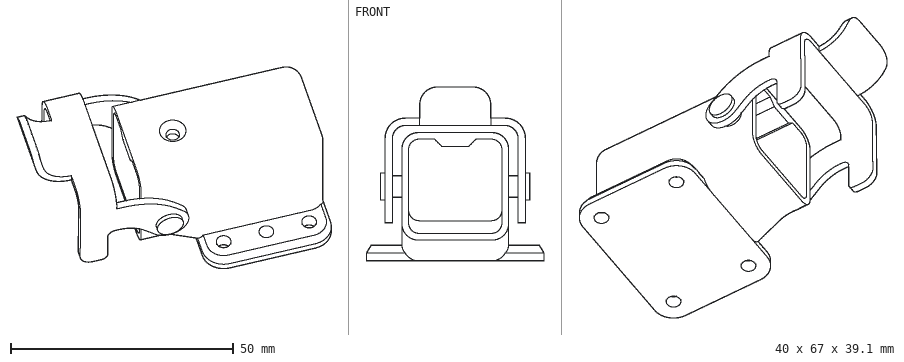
import cadquery as cq
import math


PLATE_WIDTH = 40.0
PLATE_LENGTH = 30.0
PLATE_HEIGHT = 3.5
PLATE_CORNER_RADIUS = 5.0
PLATE_BEVEL_HEIGHT = 1.8
PLATE_BEVEL_INSET = 1.1
HOLE_DIAMETER = 3.3
HOLE_X = 15.0
HOLE_Y = 10.0
DIMPLE_ANGLE = 118.0

HOOD_WIDTH = 24.0
HOOD_LENGTH = 43.4
HOOD_HEIGHT = 28.85
HOOD_ROUND = 3.7
BACK_Y = PLATE_LENGTH / 2
MOUTH_Y = BACK_Y - HOOD_LENGTH
MOUTH_BOTTOM_Z = 4.65
RAMP_ANGLE = 31.7
RAMP_BEND_RADIUS = 4.0
RAMP_OVERRUN = 6.0

WALL = 1.5
CAVITY_ROUND = 2.4
CAVITY_FLOOR_Z = 9.0
RECESS_LENGTH = 22.0
RIB_HEIGHT = 1.7
RIB_BOTTOM_WIDTH = 5.9

SCREW_Y = -17.6
SCREW_DIAMETER = 3.0
SCREW_HEAD_DIAMETER = 5.95
SCREW_HEAD_ANGLE = 90.0

PIVOT_Y = -22.95
PIVOT_Z = 16.7
PIN_DIAMETER = 4.9
PIN_HEAD_DIAMETER = 6.1
PIN_HEAD_THICKNESS = 1.0

LEVER_WIDTH = 31.6
SHEET = 1.7
LEVER_BEND_RADIUS = 4.6
LEVER_TOP_Z = 32.1
LEVER_FRONT_Y = -43.6
LEVER_FRONT_LEAN = 0.2
BRIDGE_BACK_Y = -35.2
ARM_END_RADIUS = 4.6
ARM_TOP_Z = 26.5
ARM_BOTTOM_Z = 18.4
ARM_TOP_BEND = 17.0
ARM_BOTTOM_BEND = 9.0
LEG_BACK_Y = -37.3
LEG_BOTTOM_Z = 8.5
LEG_THROAT_RADIUS = 1.8
LEG_BACK_RADIUS = 1.5
LEG_FRONT_RADIUS = 3.0

TAB_WIDTH = 16.0
TAB_TIP_Y = -52.01
TAB_TIP_Z = 39.09
TAB_CORNER_RADIUS = 4.0


def side_profile(points, width):
    """Extrude a closed (Y, Z) polygon symmetrically across X."""
    return cq.Workplane("YZ").polyline(points).close().extrude(width / 2, both=True)


def round_edge_at(solid, y, z, radius):
    """Fillet the X-direction edge that passes nearest to (Y, Z)."""
    return solid.edges(cq.NearestToPointSelector((0, y, z))).fillet(radius)


def box_between(x_size, y_min, y_max, z_min, z_max):
    """Box centred on X = 0 between the given Y and Z limits."""
    box = cq.Workplane("XY").box(x_size, y_max - y_min, z_max - z_min)
    return box.translate((0, (y_min + y_max) / 2, (z_min + z_max) / 2))


def mounting_plate():
    plate = cq.Workplane("XY").rect(PLATE_WIDTH, PLATE_LENGTH).extrude(PLATE_HEIGHT)
    plate = plate.edges("|Z").fillet(PLATE_CORNER_RADIUS)
    top_rim = plate.faces(">Z").edges()
    plate = top_rim.chamfer(PLATE_BEVEL_HEIGHT, PLATE_BEVEL_INSET)
    corner_holes = [(sx * HOLE_X, sy * HOLE_Y) for sx in (-1, 1) for sy in (-1, 1)]
    radius = HOLE_DIAMETER / 2
    plate = plate.cut(cq.Workplane("XY").pushPoints(corner_holes).circle(radius).extrude(PLATE_HEIGHT))
    depth = radius / math.tan(math.radians(DIMPLE_ANGLE / 2))
    for x in (-HOLE_X, HOLE_X):
        tip = cq.Vector(x, 0, PLATE_HEIGHT - depth)
        plate = plate.cut(cq.Workplane(cq.Solid.makeCone(0, radius, depth, tip, cq.Vector(0, 0, 1))))
    return plate


def hood_body():
    """Rounded shell blank whose underside ramps up to the mouth."""
    slope = math.tan(math.radians(RAMP_ANGLE))
    ramp_foot_y = -PLATE_LENGTH / 2
    bend_y = ramp_foot_y - MOUTH_BOTTOM_Z / slope
    low_y = ramp_foot_y + RAMP_OVERRUN / slope
    body = side_profile(
        [
            (MOUTH_Y, HOOD_HEIGHT),
            (BACK_Y, HOOD_HEIGHT),
            (BACK_Y, -RAMP_OVERRUN),
            (low_y, -RAMP_OVERRUN),
            (bend_y, MOUTH_BOTTOM_Z),
            (MOUTH_Y, MOUTH_BOTTOM_Z),
        ],
        HOOD_WIDTH,
    )
    body = round_edge_at(body, bend_y, MOUTH_BOTTOM_Z, RAMP_BEND_RADIUS)
    top_and_back = body.faces(">Z").edges("not <Y").add(body.faces(">Y").edges("|Z"))
    body = top_and_back.fillet(HOOD_ROUND)
    half_width = HOOD_WIDTH / 2
    for x in (-half_width, half_width):
        edge = cq.NearestToPointSelector((x, (MOUTH_Y + bend_y) / 2, MOUTH_BOTTOM_Z))
        body = body.edges(edge).fillet(HOOD_ROUND)
    below = box_between(HOOD_WIDTH, MOUTH_Y, BACK_Y, -RAMP_OVERRUN, 0)
    return body.cut(below)


def hood_cavity():
    """Rounded pocket whose front part has a lower floor than the back."""
    width = HOOD_WIDTH - 2 * WALL
    roof_z = HOOD_HEIGHT - WALL
    deep = box_between(width, MOUTH_Y, BACK_Y - WALL, CAVITY_FLOOR_Z, roof_z)
    deep = deep.edges("|Y or >Y").fillet(CAVITY_ROUND)
    recess_floor_z = MOUTH_BOTTOM_Z + WALL
    recess = box_between(width, MOUTH_Y, MOUTH_Y + RECESS_LENGTH, recess_floor_z, roof_z)
    recess = recess.edges("|Y or (|Z and >Y)").fillet(CAVITY_ROUND)
    return deep.union(recess)


def roof_rib():
    """Trapezoidal rib with 45 degree flanks under the hood roof."""
    roof_z = HOOD_HEIGHT - WALL
    half_bottom = RIB_BOTTOM_WIDTH / 2
    half_top = half_bottom + RIB_HEIGHT
    outline = [
        (-half_top, roof_z),
        (half_top, roof_z),
        (half_bottom, roof_z - RIB_HEIGHT),
        (-half_bottom, roof_z - RIB_HEIGHT),
    ]
    length = HOOD_LENGTH - WALL
    rib = cq.Workplane("XZ", origin=(0, MOUTH_Y, 0)).polyline(outline).close()
    return rib.extrude(-length)


def screw_hole():
    depth = WALL + RIB_HEIGHT
    top = cq.Workplane("XY", origin=(0, SCREW_Y, HOOD_HEIGHT))
    shank = top.circle(SCREW_DIAMETER / 2).extrude(-depth)
    head_radius = SCREW_HEAD_DIAMETER / 2
    head_depth = (head_radius - SCREW_DIAMETER / 2) / math.tan(math.radians(SCREW_HEAD_ANGLE / 2))
    head = cq.Solid.makeCone(
        head_radius,
        SCREW_DIAMETER / 2,
        head_depth,
        cq.Vector(0, SCREW_Y, HOOD_HEIGHT),
        cq.Vector(0, 0, -1),
    )
    return shank.union(cq.Workplane(head))


def pivot_pin(side):
    """Pin with a flat head on the lever's outer face; side is -1 or 1."""
    root_x = side * (HOOD_WIDTH / 2 - WALL / 2)
    face_x = side * LEVER_WIDTH / 2
    shaft = cq.Workplane("YZ", origin=(root_x, PIVOT_Y, PIVOT_Z))
    shaft = shaft.circle(PIN_DIAMETER / 2).extrude(face_x - root_x)
    head = cq.Workplane("YZ", origin=(face_x, PIVOT_Y, PIVOT_Z))
    head = head.circle(PIN_HEAD_DIAMETER / 2).extrude(side * PIN_HEAD_THICKNESS)
    return shaft.union(head)


def lever_side():
    """Side outline of the lever, extruded over its full width."""
    offset = ARM_END_RADIUS * math.sqrt(0.5)
    top_start = (PIVOT_Y + offset, PIVOT_Z + offset)
    bottom_start = (PIVOT_Y - offset, PIVOT_Z - offset)
    top_bend_y = top_start[0] - (ARM_TOP_Z - top_start[1])
    bottom_bend_y = bottom_start[0] - (ARM_BOTTOM_Z - bottom_start[1])
    foot_front_y = LEVER_FRONT_Y - LEVER_FRONT_LEAN
    side = side_profile(
        [
            top_start,
            (top_bend_y, ARM_TOP_Z),
            (BRIDGE_BACK_Y, ARM_TOP_Z),
            (BRIDGE_BACK_Y, LEVER_TOP_Z),
            (LEVER_FRONT_Y, LEVER_TOP_Z),
            (foot_front_y, LEG_BOTTOM_Z),
            (LEG_BACK_Y, LEG_BOTTOM_Z),
            (LEG_BACK_Y, ARM_BOTTOM_Z),
            (bottom_bend_y, ARM_BOTTOM_Z),
            bottom_start,
        ],
        LEVER_WIDTH,
    )
    side = round_edge_at(side, top_bend_y, ARM_TOP_Z, ARM_TOP_BEND)
    side = round_edge_at(side, bottom_bend_y, ARM_BOTTOM_Z, ARM_BOTTOM_BEND)
    side = round_edge_at(side, LEG_BACK_Y, ARM_BOTTOM_Z, LEG_THROAT_RADIUS)
    side = round_edge_at(side, LEG_BACK_Y, LEG_BOTTOM_Z, LEG_BACK_RADIUS)
    side = round_edge_at(side, foot_front_y, LEG_BOTTOM_Z, LEG_FRONT_RADIUS)
    arm_end = cq.Workplane("YZ", origin=(0, PIVOT_Y, PIVOT_Z)).circle(ARM_END_RADIUS)
    return side.union(arm_end.extrude(LEVER_WIDTH / 2, both=True))


def lever():
    """Side outline trimmed to a bent U of sheet."""
    back_y = PIVOT_Y + ARM_END_RADIUS
    front_y = LEVER_FRONT_Y - LEVER_FRONT_LEAN
    outer = box_between(LEVER_WIDTH, front_y, back_y, 0, LEVER_TOP_Z)
    outer = outer.edges("|Y and >Z").fillet(LEVER_BEND_RADIUS)
    inner = box_between(LEVER_WIDTH - 2 * SHEET, front_y, back_y, 0, LEVER_TOP_Z - SHEET)
    inner = inner.edges("|Y and >Z").fillet(LEVER_BEND_RADIUS - SHEET)
    return lever_side().intersect(outer.cut(inner))


def thumb_tab():
    """Sheet curling from the bridge's front edge up to a vertical tip."""
    outer_radius = LEVER_FRONT_Y - TAB_TIP_Y
    inner_radius = outer_radius - SHEET
    centre_z = LEVER_TOP_Z + inner_radius
    diagonal = math.sqrt(0.5)

    def arc_middle(radius):
        return (LEVER_FRONT_Y - radius * diagonal, centre_z - radius * diagonal)

    tab = (
        cq.Workplane("YZ")
        .moveTo(BRIDGE_BACK_Y, LEVER_TOP_Z)
        .lineTo(LEVER_FRONT_Y, LEVER_TOP_Z)
        .threePointArc(arc_middle(inner_radius), (LEVER_FRONT_Y - inner_radius, centre_z))
        .lineTo(LEVER_FRONT_Y - inner_radius, TAB_TIP_Z)
        .lineTo(TAB_TIP_Y, TAB_TIP_Z)
        .lineTo(TAB_TIP_Y, centre_z)
        .threePointArc(arc_middle(outer_radius), (LEVER_FRONT_Y, LEVER_TOP_Z - SHEET))
        .lineTo(BRIDGE_BACK_Y, LEVER_TOP_Z - SHEET)
        .close()
        .extrude(TAB_WIDTH / 2, both=True)
    )
    outline = box_between(TAB_WIDTH, TAB_TIP_Y, BRIDGE_BACK_Y, 0, TAB_TIP_Z)
    outline = outline.edges("|Y and >Z").fillet(TAB_CORNER_RADIUS)
    return tab.intersect(outline)


hood = hood_body().union(mounting_plate())
hood = hood.cut(hood_cavity()).union(roof_rib()).cut(screw_hole())
result = hood.union(lever()).union(thumb_tab())
for pin_side in (-1, 1):
    result = result.union(pivot_pin(pin_side))